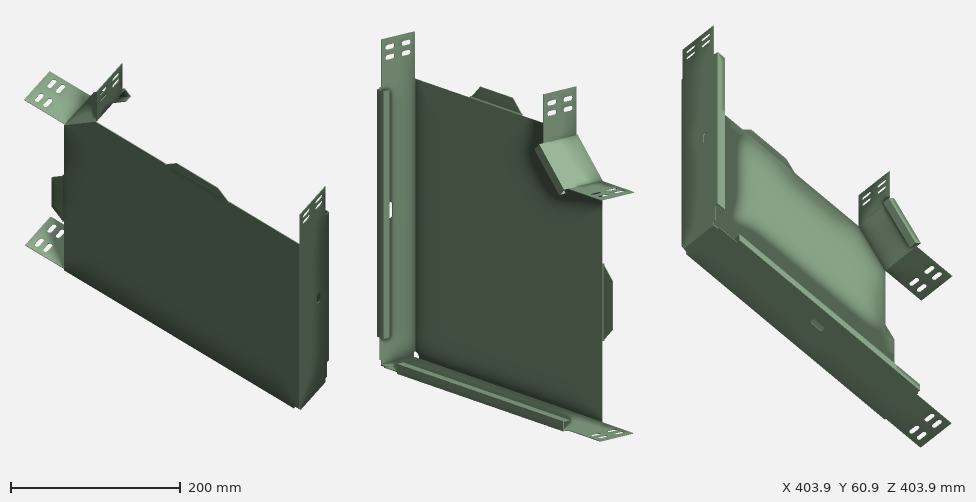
import cadquery as cq
import math


overall_side = 403.94
overall_depth = 60.9
sheet = 0.9
tongue_offset = 1.5
depth = overall_depth - tongue_offset
tab_length = 60.0
plate_side = overall_side - tab_length
chamfer = 45.6
chamfer_angle = 45.0

wall_depth = 55.0
lip_start = 37.2
lip_end_gap = 1.5
lip_width = 12.4
lip_return = 9.4

tab_low = 1.7
tab_high = 52.7
outer_tab_setback = 1.4
outer_tab_end = overall_side - outer_tab_setback
tab_slot_length = 14.0
tab_slot_width = 6.0
tab_slot_first = 12.8
tab_slot_pitch = 12.5
tab_slot_levels = (14.7, 39.7)

wall_slot_length = 20.0
wall_slot_width = 6.5
wall_slot_level = 39.2
wall_slot_place = 189.5

relief = 7.7
relief_radius = 6.0
flap_width = 12.4
flap_low = 3.0

tongue_middle = -148.2
tongue_tip = 60.0
tongue_length = 17.3
step_width = 95.9
step_length = 1.6


def block(x_range, y_range, z_range):
    """Axis-aligned box between the given limits."""
    low, high = zip(x_range, y_range, z_range)
    size = [b - a for a, b in zip(low, high)]
    return cq.Workplane("XY").box(*size, centered=False).translate(low)


def mirrored(shape):
    """Copy reflected in the diagonal plane x + z = 0."""
    return shape.mirror((1, 0, 1))


def front_prism(points, y_low, y_high):
    """Prism along Y with an outline given as (x, z) points."""
    outline = cq.Workplane("XZ", origin=(0, y_low, 0)).polyline(points).close()
    return outline.extrude(y_low - y_high)


def vertical_slots(centres, length, width, angle, z_middle):
    """Slot cutters along Z at (x, y) centres, reaching well past one sheet."""
    plane = cq.Workplane("XY", origin=(0, 0, z_middle - 2 * sheet))
    return plane.pushPoints(centres).slot2D(length, width, angle).extrude(4 * sheet)


def tab_slots(z_middle):
    """Four slots of a tab that runs toward -X."""
    first = tab_slot_first - overall_side
    columns = (first, first + tab_slot_pitch)
    centres = [(x, y) for x in columns for y in tab_slot_levels]
    return vertical_slots(centres, tab_slot_length, tab_slot_width, 90, z_middle)


def make_plate():
    """Flat base with one chamfered corner and a rounded relief at the outer corner."""
    outline = [
        (0, 0),
        (-plate_side, 0),
        (-plate_side, plate_side - chamfer),
        (chamfer - plate_side, plate_side),
        (0, plate_side),
    ]
    plate = front_prism(outline, 0, sheet)
    cutter = block((-relief, relief), (-sheet, 2 * sheet), (-relief, relief))
    cutter = cutter.edges("|Y and <X and >Z").fillet(relief_radius)
    return plate.cut(cutter)


def make_outer_wall():
    """Lower wall with its lip, tab and slot; the right wall is its mirror."""
    thick = (0, sheet)
    wall = block((-plate_side, -relief), (0, wall_depth), thick)
    wall = wall.union(block((-relief, 0), (flap_low, tab_high), thick))
    wall = wall.union(block((-outer_tab_end, -plate_side), (tab_low, tab_high), thick))

    along = (lip_end_gap - plate_side, -lip_start)
    wall = wall.union(block(along, (wall_depth - sheet, depth), thick))
    wall = wall.union(block(along, (depth - sheet, depth), (0, lip_width)))
    wall = wall.union(block(along, (depth - lip_return, depth), (lip_width - sheet, lip_width)))

    wall = wall.cut(tab_slots(sheet / 2))
    wall_slot = vertical_slots(
        [(-wall_slot_place, wall_slot_level)], wall_slot_length, wall_slot_width, 0, sheet / 2
    )
    return wall.cut(wall_slot)


def make_corner_flap():
    """Flap of the right wall folded over onto the lower wall."""
    return block((-flap_width, 0), (flap_low, tab_high), (sheet, 2 * sheet))


def make_diagonal_wall():
    """Wall along the chamfer with a square-ended C-shaped lip."""
    half_length = chamfer / math.sqrt(2)
    along = (-half_length, half_length)
    wall = block(along, (0, depth), (-sheet, 0))
    wall = wall.union(block(along, (depth - sheet, depth), (-lip_width, 0)))
    wall = wall.union(block(along, (depth - lip_return, depth), (-lip_width, sheet - lip_width)))
    middle = chamfer / 2 - plate_side
    return wall.rotate((0, 0, 0), (0, 1, 0), -chamfer_angle).translate((middle, 0, -middle))


def make_diagonal_tab():
    """Lower of the two tabs at the ends of the diagonal wall."""
    top = plate_side - chamfer
    bend_reach = sheet * math.tan(math.radians(chamfer_angle / 2))
    tab = block(
        (-overall_side, bend_reach - plate_side), (tab_low, tab_high), (top - sheet, top)
    )
    return tab.cut(tab_slots(top - sheet / 2))


def make_tongue():
    """Upper tongue with 45 degree flanks, joined to the plate by a slanted step."""
    bend = plate_side + step_length
    tip = plate_side + tongue_length
    half_tip = tongue_tip / 2
    half_root = half_tip + tip - bend
    outline = [
        (tongue_middle - half_root, bend),
        (tongue_middle + half_root, bend),
        (tongue_middle + half_tip, tip),
        (tongue_middle - half_tip, tip),
    ]
    back = sheet - tongue_offset
    tongue = front_prism(outline, -tongue_offset, back)

    step_profile = [(0, plate_side), (sheet, plate_side), (back, bend), (-tongue_offset, bend)]
    step_plane = cq.Workplane("YZ", origin=(tongue_middle - step_width / 2, 0, 0))
    step = step_plane.polyline(step_profile).close().extrude(step_width)
    return tongue.union(step)


result = make_plate()
for feature in (make_outer_wall(), make_diagonal_tab(), make_tongue()):
    result = result.union(feature).union(mirrored(feature))
result = result.union(make_diagonal_wall()).union(make_corner_flap())